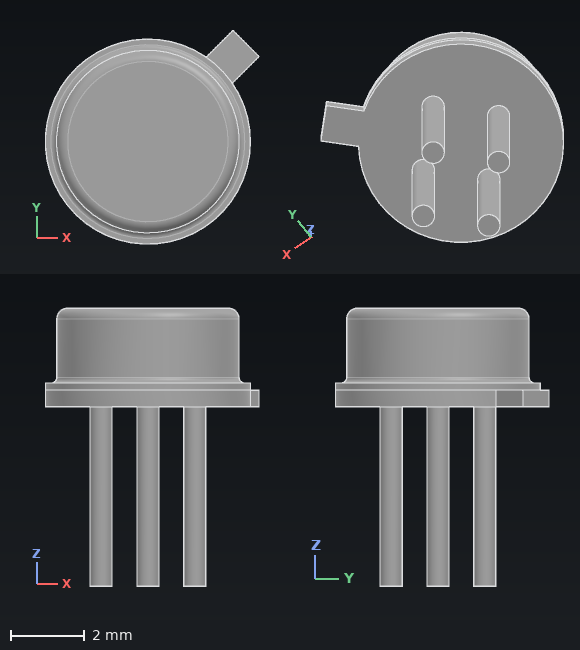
import cadquery as cq
import math

total_height = 7.54
pin_length = 4.86
pin_diameter = 0.6
pin_offset = 1.27
pin_count = 4

header_diameter = 5.56
header_thickness = 0.45
tab_width = 1.0
tab_angle = 45.0
package_width = 5.79

cap_diameter = 4.95
flange_thickness = 0.195
crown_radius = 0.3
foot_radius = 0.15

header_radius = header_diameter / 2
cap_radius = cap_diameter / 2
cap_height = total_height - pin_length - header_thickness
tab_corner_reach = package_width - header_radius
tab_reach = tab_corner_reach * math.sqrt(2) - tab_width / 2


def make_header():
    """Round base plate with a square-ended index tab."""
    disc = cq.Workplane("XY").circle(header_radius).extrude(header_thickness)
    tab = (
        cq.Workplane("XY")
        .rect(tab_reach, tab_width)
        .extrude(header_thickness)
        .translate((tab_reach / 2, 0, 0))
        .rotate((0, 0, 0), (0, 0, 1), tab_angle)
    )
    return disc.union(tab)


def make_cap():
    """Flanged can, revolved from its half profile, standing on the header."""
    diagonal = math.sqrt(0.5)
    wall_bottom = flange_thickness + foot_radius
    wall_top = cap_height - crown_radius
    foot_center_x = cap_radius + foot_radius
    crown_center_x = cap_radius - crown_radius
    foot_middle = (foot_center_x - foot_radius * diagonal, wall_bottom - foot_radius * diagonal)
    crown_middle = (crown_center_x + crown_radius * diagonal, wall_top + crown_radius * diagonal)
    profile = (
        cq.Workplane("XZ")
        .moveTo(0, 0)
        .lineTo(header_radius, 0)
        .lineTo(header_radius, flange_thickness)
        .lineTo(foot_center_x, flange_thickness)
        .threePointArc(foot_middle, (cap_radius, wall_bottom))
        .lineTo(cap_radius, wall_top)
        .threePointArc(crown_middle, (crown_center_x, cap_height))
        .lineTo(0, cap_height)
        .close()
    )
    return profile.revolve(360, (0, 0), (0, 1)).translate((0, 0, header_thickness))


def make_pin(angle):
    """Straight round lead below the header, on the pin circle at the given angle."""
    x = pin_offset * math.cos(math.radians(angle))
    y = pin_offset * math.sin(math.radians(angle))
    return cq.Workplane("XY").center(x, y).circle(pin_diameter / 2).extrude(-pin_length)


header = make_header()
cap = make_cap()
pins = [make_pin(index * 360 / pin_count) for index in range(pin_count)]

result = cq.Compound.makeCompound([header.val(), cap.val(), *[pin.val() for pin in pins]])